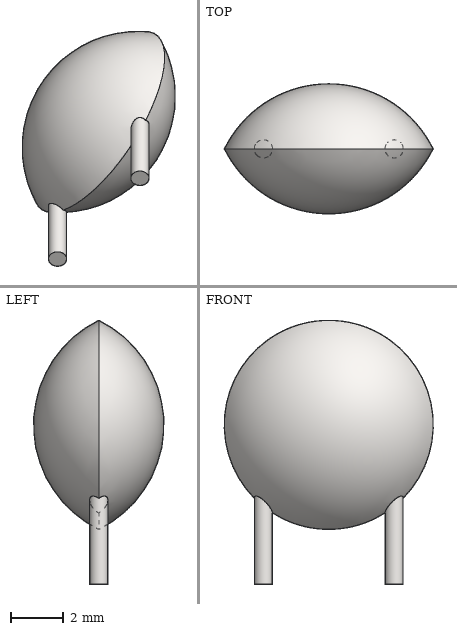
import cadquery as cq

total_height = 10.1
body_diameter = 8.0
body_thickness = 5.0
lead_diameter = 0.7
lead_spacing = 5.0

body_radius = body_diameter / 2
half_thickness = body_thickness / 2
lead_bottom = body_radius - total_height
lead_top = -body_radius / 2


def lens_body():
    """Two equal spherical caps meeting at a sharp rim."""
    cap_radius = (body_radius**2 + half_thickness**2) / (2 * half_thickness)
    center_offset = cap_radius - half_thickness
    front_sphere = cq.Workplane("XY").sphere(cap_radius).translate((0, center_offset, 0))
    back_sphere = cq.Workplane("XY").sphere(cap_radius).translate((0, -center_offset, 0))
    return front_sphere.intersect(back_sphere)


def leads():
    """Two round vertical leads that run up into the body."""
    return (
        cq.Workplane("XY", origin=(0, 0, lead_bottom))
        .pushPoints([(-lead_spacing / 2, 0), (lead_spacing / 2, 0)])
        .circle(lead_diameter / 2)
        .extrude(lead_top - lead_bottom)
    )


result = lens_body().union(leads())